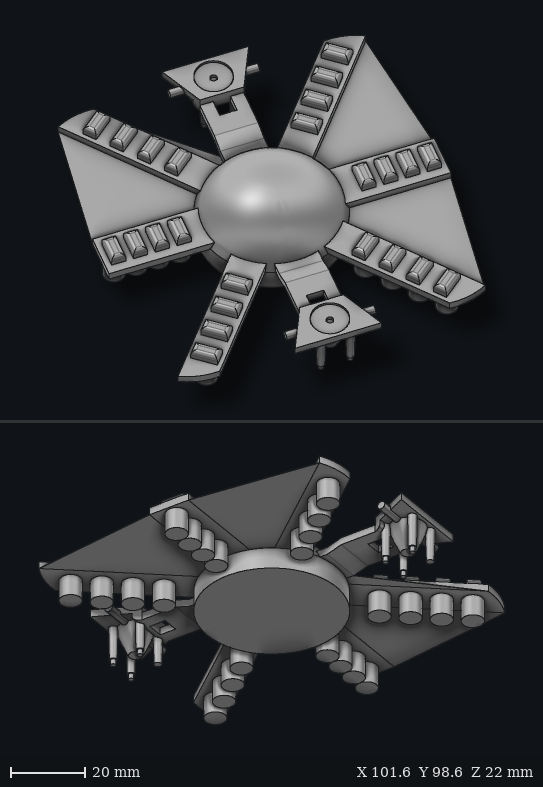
import cadquery as cq
import math

LENGTH_X = 101.6
WIDTH_Y = 98.6

DECK_Z = 6.5
PLATE_THICKNESS = 2.3
DECK_TOP = DECK_Z + PLATE_THICKNESS
CLEAT_TOP = 11.6
WING_BOTTOM = 10.3
WING_TOP = WING_BOTTOM + PLATE_THICKNESS
DOME_TOP = 20.4
PIN_BOTTOM = -1.6

HUB_RADIUS = 42.1 / 2

ARM_WIDTH = 12.7
ARM_START = 10.2
DIAGONAL_WIDTH = 10.2
DIAGONAL_ANGLE = 39.5
TIP_LOW_X = 48.2
TIP_HIGH_X = 45.8
TIP_BULGE = 0.8

WEB_THICKNESS = 0.1
SIDE_WEB_X = 22.4
SIDE_WEB_Y = 6.2

CLEATS_PER_ARM = 4
CLEAT_LENGTH = 7.6
CLEAT_WIDTH = 4.1
CLEAT_FILLET = 1.3
POST_RADIUS = 6.3 / 2
STRAIGHT_FIRST = 26.6
STRAIGHT_PITCH = 6.3
DIAGONAL_FIRST = 29.2
DIAGONAL_PITCH = 8.4

RAMP_START = 22.5
RAMP_END = 27.0
WING_INNER = 38.1
WING_OUTER = LENGTH_X / 2
WING_CENTER = (WING_INNER + WING_OUTER) / 2
WING_OUTER_WIDTH = 25.0
HOLE_SIZE = 5.0
FOOT_LENGTH = 2.4
FOOT_FILLET = 1.6

RECESS_RADIUS = 10.7 / 2
RECESS_DEPTH = 0.7
CENTER_HOLE_RADIUS = 2.0 / 2
CENTER_HOLE_DEPTH = 1.0
ROD_RADIUS = 1.2
ROD_LENGTH = 25.7
ROD_Z = 10.7
BOWL_TOP_RADIUS = 5.3
BOWL_MID_RADIUS = 4.0
BOWL_MID_Z = 6.5
BOWL_BOTTOM_RADIUS = 3.9 / 2
BOWL_BOTTOM_Z = 2.2
PIN_OFFSET_X = 4.4
PIN_OFFSET_Y = 4.3
PIN_TOP_RADIUS = 1.3
PIN_END_RADIUS = 1.1
PIN_TIP_RADIUS = 1.5 / 2


def prism(points, bottom, height):
    """Vertical prism over a closed polygon."""
    return cq.Workplane("XY").workplane(offset=bottom).polyline(points).close().extrude(height)


def make_hub():
    """Round base with a spherical cap that starts at the deck level."""
    rise = DOME_TOP - DECK_Z
    sphere_radius = (HUB_RADIUS**2 + rise**2) / (2 * rise)
    half_chord = HUB_RADIUS / 2
    mid_z = DOME_TOP - sphere_radius + math.sqrt(sphere_radius**2 - half_chord**2)
    return (
        cq.Workplane("XZ")
        .lineTo(HUB_RADIUS, 0)
        .lineTo(HUB_RADIUS, DECK_Z)
        .threePointArc((half_chord, mid_z), (0, DOME_TOP))
        .close()
        .revolve(360, (0, 0, 0), (0, 1, 0))
    )


def cleat_with_post(distance):
    """Cleat and post of an arm along +X, at a distance from the center."""
    cleat = (
        cq.Workplane("XY")
        .box(CLEAT_WIDTH, CLEAT_LENGTH, CLEAT_TOP - DECK_Z, centered=(True, True, False))
        .faces(">Z")
        .edges()
        .fillet(CLEAT_FILLET)
        .translate((distance, 0, DECK_Z))
    )
    post = (
        cq.Workplane("XY")
        .circle(POST_RADIUS)
        .extrude(DECK_Z)
        .rotate((0, 0, 0), (0, 0, 1), 180)
        .translate((distance, 0, 0))
    )
    return cleat.union(post)


def add_cleats(arm, first, pitch):
    """Add the evenly spaced cleats and posts to an arm along +X."""
    for index in range(CLEATS_PER_ARM):
        arm = arm.union(cleat_with_post(first + index * pitch))
    return arm


def diagonal_edge(x, side):
    """Point at x on a long edge of the diagonal arm: side 1 faces +Y, side -1 faces +X."""
    angle = math.radians(DIAGONAL_ANGLE)
    return x, x * math.tan(angle) + side * DIAGONAL_WIDTH / 2 / math.cos(angle)


TIP_LOW = diagonal_edge(TIP_LOW_X, -1)
TIP_HIGH = diagonal_edge(TIP_HIGH_X, 1)


def make_straight_arm():
    """Arm along +Y."""
    arm = (
        cq.Workplane("XY")
        .box(WIDTH_Y / 2 - ARM_START, ARM_WIDTH, PLATE_THICKNESS, centered=(False, True, False))
        .translate((ARM_START, 0, DECK_Z))
    )
    return add_cleats(arm, STRAIGHT_FIRST, STRAIGHT_PITCH).rotate((0, 0, 0), (0, 0, 1), 90)


def make_diagonal_arm():
    """Arm in the +X +Y quadrant with an arc across its tip."""
    plate = (
        cq.Workplane("XY")
        .workplane(offset=DECK_Z)
        .moveTo(*diagonal_edge(ARM_START, -1))
        .lineTo(*TIP_LOW)
        .sagittaArc(TIP_HIGH, -TIP_BULGE)
        .lineTo(*diagonal_edge(ARM_START, 1))
        .close()
        .extrude(PLATE_THICKNESS)
    )
    fittings = add_cleats(cq.Workplane("XY"), DIAGONAL_FIRST, DIAGONAL_PITCH)
    return plate.union(fittings.rotate((0, 0, 0), (0, 0, 1), DIAGONAL_ANGLE))


def make_web():
    """Thin web in the +X +Y quadrant, between the straight and the diagonal arm."""
    corners = [(0, 0), TIP_HIGH, (ARM_WIDTH / 2, WIDTH_Y / 2), (0, WIDTH_Y / 2)]
    return prism(corners, DECK_Z, WEB_THICKNESS)


def make_side_web():
    """Thin web in the +X +Y quadrant, between the diagonal arm and the strut."""
    root = (ARM_START, ARM_START / 2)
    corners = [root, (SIDE_WEB_X, SIDE_WEB_Y), TIP_LOW]
    return prism(corners, DECK_Z, WEB_THICKNESS)


def make_pin(x, y, has_tip):
    """Tapered pin, with or without a thin tip."""
    shank = (
        cq.Workplane("XY")
        .workplane(offset=WING_BOTTOM)
        .center(x, y)
        .circle(PIN_TOP_RADIUS)
        .workplane(offset=-WING_BOTTOM)
        .circle(PIN_END_RADIUS)
        .loft()
    )
    if not has_tip:
        return shank
    tip = cq.Workplane("XY").center(x, y).circle(PIN_TIP_RADIUS).extrude(PIN_BOTTOM)
    return shank.union(tip)


def make_bowl():
    """Tapering round body below the wing plate."""
    return (
        cq.Workplane("XZ")
        .moveTo(0, BOWL_BOTTOM_Z)
        .lineTo(BOWL_BOTTOM_RADIUS, BOWL_BOTTOM_Z)
        .threePointArc((BOWL_MID_RADIUS, BOWL_MID_Z), (BOWL_TOP_RADIUS, WING_BOTTOM))
        .lineTo(0, WING_BOTTOM)
        .close()
        .revolve(360, (0, 0, 0), (0, 1, 0))
        .translate((WING_CENTER, 0, 0))
    )


def make_strut():
    """Stepped strut along +X with a square window next to the wing plate."""
    profile = [
        (ARM_START, DECK_TOP),
        (RAMP_START, DECK_TOP),
        (RAMP_END, WING_BOTTOM),
        (WING_INNER, WING_BOTTOM),
        (WING_INNER, WING_BOTTOM - PLATE_THICKNESS),
        (RAMP_END, WING_BOTTOM - PLATE_THICKNESS),
        (RAMP_START, DECK_Z),
        (ARM_START, DECK_Z),
    ]
    strut = cq.Workplane("XZ").polyline(profile).close().extrude(ARM_WIDTH / 2, both=True)
    window = (
        cq.Workplane("XY")
        .box(HOLE_SIZE, HOLE_SIZE, WING_TOP)
        .translate((WING_INNER - HOLE_SIZE / 2, 0, WING_TOP / 2))
    )
    return strut.cut(window)


def make_wing():
    """Trapezoidal plate with its rod and bowl, on the +X side."""
    corners = [
        (WING_INNER, -ARM_WIDTH / 2),
        (WING_OUTER, -WING_OUTER_WIDTH / 2),
        (WING_OUTER, WING_OUTER_WIDTH / 2),
        (WING_INNER, ARM_WIDTH / 2),
    ]
    wing = prism(corners, WING_BOTTOM, PLATE_THICKNESS)

    foot = (
        cq.Workplane("XY")
        .box(FOOT_LENGTH, WING_OUTER_WIDTH, PLATE_THICKNESS, centered=(False, True, False))
        .edges(">X and <Z")
        .fillet(FOOT_FILLET)
        .translate((WING_INNER, 0, WING_BOTTOM - PLATE_THICKNESS))
    )
    wing = wing.union(foot.intersect(prism(corners, 0, WING_BOTTOM)))

    rod = (
        cq.Workplane("XZ")
        .center(WING_CENTER, ROD_Z)
        .circle(ROD_RADIUS)
        .extrude(ROD_LENGTH / 2, both=True)
    )
    wing = wing.union(rod).union(make_bowl())
    top = cq.Workplane("XY").workplane(offset=WING_TOP).center(WING_CENTER, 0)
    recess = top.circle(RECESS_RADIUS).extrude(-RECESS_DEPTH)
    hole = top.circle(CENTER_HOLE_RADIUS).extrude(-RECESS_DEPTH - CENTER_HOLE_DEPTH)
    return wing.cut(recess).cut(hole)


straight_arm = make_straight_arm()
diagonal_arm = make_diagonal_arm()
side = make_strut().union(make_wing())
web = make_web()

result = make_hub()
result = result.union(straight_arm).union(straight_arm.mirror("XZ"))
for right_arm in (diagonal_arm, diagonal_arm.mirror("XZ")):
    result = result.union(right_arm).union(right_arm.mirror("YZ"))
result = result.union(side).union(side.mirror("YZ"))

for wing_x in (-WING_CENTER, WING_CENTER):
    for side_x in (-1, 1):
        for side_y in (-1, 1):
            has_tip = side_x > 0 or side_y > 0
            pin = make_pin(wing_x + side_x * PIN_OFFSET_X, side_y * PIN_OFFSET_Y, has_tip)
            result = result.union(pin)

left_web = web.mirror("YZ")
result = result.union(web).union(left_web).union(left_web.mirror("XZ"))
result = result.union(make_side_web().rotate((0, 0, 0), (0, 0, 1), 180))